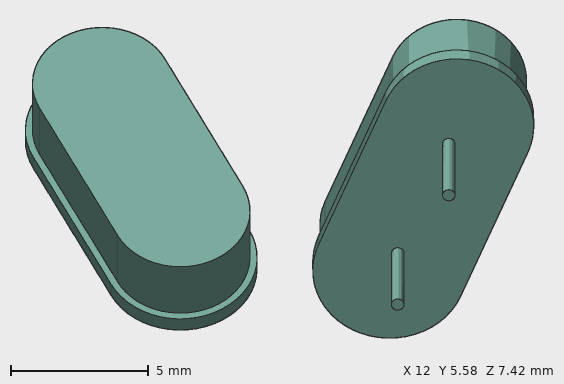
import cadquery as cq

total_length = 12.01
base_width = 5.58
total_height = 7.42

base_thickness = 0.68
can_width = 5.07
can_height = 2.82
end_centre_spacing = total_length - base_width

lead_diameter = 0.46
lead_spacing = 4.88
lead_length = total_height - base_thickness - can_height


def rounded_end_block(width, height, bottom_z):
    """Upright block with full-round ends on the shared arc centres."""
    return (
        cq.Workplane("XY", origin=(0, 0, bottom_z))
        .slot2D(end_centre_spacing + width, width)
        .extrude(height)
    )


def make_base():
    """Flange plate with its underside at Z = 0."""
    return rounded_end_block(base_width, base_thickness, 0)


def make_can():
    """Can standing on the base, leaving an even rim all round."""
    return rounded_end_block(can_width, can_height, base_thickness)


def make_lead(x):
    """Round lead hanging from the underside of the base."""
    return cq.Workplane("XY").center(x, 0).circle(lead_diameter / 2).extrude(-lead_length)


base = make_base()
can = make_can()
leads = [make_lead(side * lead_spacing / 2) for side in (-1, 1)]

result = cq.Compound.makeCompound([base.val(), can.val(), *[lead.val() for lead in leads]])